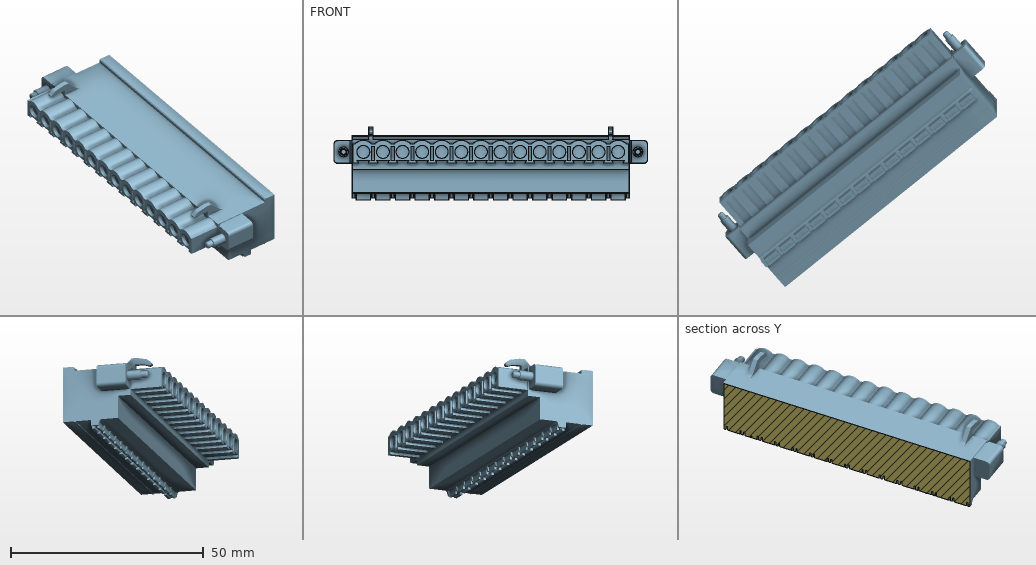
import cadquery as cq


pole_count = 14
pole_row_span = 66.0
pole_pitch = pole_row_span / (pole_count - 1)
pole_z = 10.5

housing_length = 71.85
housing_depth = 18.3
housing_top = 13.65
front_wall_bottom = 5.9
step_depth = 3.4
lip_top = 14.7
lip_depth = 3.2
lip_chamfer = 0.25

sleeve_row_length = 71.4
sleeve_length = 8.3
sleeve_top = 13.5
sleeve_bottom = 7.55
sleeve_valley_z = 12.6
sleeve_arc_half_width = 2.1
wire_hole_diameter = 3.3
wire_hole_depth = 1.0
slot_width = 0.8
slot_bottom = 8.3
slot_top = 11.9
slot_depth = 1.6
groove_roof_z = slot_bottom
groove_roof_width = 3.3
groove_mouth_width = 2.6
groove_lip_height = 0.25

overall_length = 81.3
flange_depth = 7.8
flange_height = 5.9
flange_radius = 1.0
flange_chamfer_width = 0.6
flange_chamfer_depth = 1.2
screw_x = 38.1
screw_diameter = 2.5
screw_length = 3.65
tip_diameter = 1.8
tip_length = 1.7
tip_chamfer = 0.25

hook_x = 31.05
hook_width = 1.2
hook_top = 17.0
hook_throat_z = 15.2
hook_root_y = 4.95
hook_root_mid = (4.3, 13.8)
hook_ramp_start = (3.7, 14.15)
hook_ramp_end_y = 1.0
hook_flat_end_y = -0.4
hook_nose_facets = [(-0.9, 16.9), (-3.2, 16.4), (-3.65, 16.1)]
hook_tip_y = -4.5
hook_tip_top = 15.4
hook_tip_bottom = 14.95
hook_lip_mid = (-4.1, 14.7)
hook_lip_end = (-3.5, 14.7)
hook_throat_mid = (-2.6, 15.0)
hook_throat_end_y = -1.6

root_front_y = 8.0
root_edge_y = 8.4
root_height = 0.3
rail_front_y = 8.7
rail_back_y = 10.7
rail_height = 1.5
tooth_width = 3.7
tooth_height = 2.0
tooth_gap = 0.25
tooth_groove_y = 9.2
tooth_groove_width = 0.8
ridge_y = 15.0
ridge_width = 0.4
ridge_height = 0.2

pole_positions = [(i - (pole_count - 1) / 2) * pole_pitch for i in range(pole_count)]
gap_positions = [(i - pole_count / 2) * pole_pitch for i in range(1, pole_count)]


def box(x_range, y_range, z_range):
    """Box spanning the given (low, high) ranges."""
    corners = list(zip(x_range, y_range, z_range))
    size = [high - low for low, high in zip(*corners)]
    return cq.Workplane("XY").box(*size, centered=False).translate(corners[0])


def centred(width, x=0.0):
    """Range of the given width centred on x."""
    return (x - width / 2, x + width / 2)


def extrude_along_x(profile, x_range):
    """Extrude a closed Y-Z profile over a range of X."""
    low, high = x_range
    return profile.extrude(high - low).translate((low, 0, 0))


def yz_polygon(points):
    return cq.Workplane("YZ").polyline(points).close()


def make_housing():
    lip_front = housing_depth - lip_depth
    profile = yz_polygon([
        (step_depth, 0),
        (housing_depth, 0),
        (housing_depth, lip_top),
        (lip_front + lip_chamfer, lip_top),
        (lip_front, lip_top - lip_chamfer),
        (lip_front, housing_top),
        (0, housing_top),
        (0, front_wall_bottom),
        (step_depth, front_wall_bottom),
    ])
    return extrude_along_x(profile, centred(housing_length))


def make_sleeves():
    """Row of round-topped sleeves with a flat valley between neighbours."""
    end = sleeve_row_length / 2
    outline = cq.Workplane("XZ").moveTo(-end, sleeve_bottom).lineTo(-end, sleeve_valley_z)
    for x in pole_positions:
        outline = outline.lineTo(x - sleeve_arc_half_width, sleeve_valley_z).threePointArc(
            (x, sleeve_top), (x + sleeve_arc_half_width, sleeve_valley_z)
        )
    outline = outline.lineTo(end, sleeve_valley_z).lineTo(end, sleeve_bottom).close()
    return outline.extrude(sleeve_length)


def make_wire_holes():
    holes = cq.Workplane("XZ", origin=(0, -sleeve_length, 0))
    holes = holes.pushPoints([(x, pole_z) for x in pole_positions])
    return holes.circle(wire_hole_diameter / 2).extrude(-wire_hole_depth)


def make_slot(x):
    """Blind slot in the front between two neighbouring sleeves."""
    y_range = (-sleeve_length, slot_depth - sleeve_length)
    return box(centred(slot_width, x), y_range, (slot_bottom, slot_top))


def make_sleeve_groove(x):
    """Undercut groove along the underside of one sleeve."""
    roof = groove_roof_width / 2
    mouth = groove_mouth_width / 2
    lip_z = sleeve_bottom + groove_lip_height
    outline = [
        (x - mouth, sleeve_bottom),
        (x - mouth, lip_z),
        (x - roof, groove_roof_z),
        (x + roof, groove_roof_z),
        (x + mouth, lip_z),
        (x + mouth, sleeve_bottom),
    ]
    return cq.Workplane("XZ").polyline(outline).close().extrude(sleeve_length)


def make_left_flange():
    """Flange block and screw at the -X end."""
    outer_x = -overall_length / 2
    inner_x = -housing_length / 2
    z_range = centred(flange_height, pole_z)
    block = box((outer_x, inner_x), (0, flange_depth), z_range)
    block = block.edges("|Y and <X").fillet(flange_radius)
    corner = [
        (inner_x - flange_chamfer_width, 0),
        (inner_x, flange_chamfer_depth),
        (inner_x, 0),
    ]
    cutter = cq.Workplane("XY", origin=(0, 0, z_range[0])).polyline(corner).close()
    block = block.cut(cutter.extrude(flange_height))
    shank = cq.Workplane("XZ", origin=(-screw_x, 0, pole_z)).circle(screw_diameter / 2)
    shank = shank.extrude(screw_length)
    tip = shank.faces("<Y").workplane(centerOption="CenterOfMass").circle(tip_diameter / 2)
    tip = tip.extrude(tip_length, combine=False).faces("<Y").chamfer(tip_chamfer)
    return block.union(shank).union(tip)


def make_hook(x):
    """Latch hook: curved root, sloped back, flat top and a faceted nose reaching over the sleeves."""
    profile = (
        cq.Workplane("YZ")
        .moveTo(0, housing_top)
        .lineTo(hook_root_y, housing_top)
        .threePointArc(hook_root_mid, hook_ramp_start)
        .lineTo(hook_ramp_end_y, hook_top)
        .lineTo(hook_flat_end_y, hook_top)
    )
    for y, z in hook_nose_facets:
        profile = profile.lineTo(y, z)
    profile = (
        profile
        .lineTo(hook_tip_y, hook_tip_top)
        .lineTo(hook_tip_y, hook_tip_bottom)
        .threePointArc(hook_lip_mid, hook_lip_end)
        .threePointArc(hook_throat_mid, (hook_throat_end_y, hook_throat_z))
        .lineTo(0, hook_throat_z)
        .close()
    )
    return extrude_along_x(profile, centred(hook_width, x))


def make_rail_root():
    """Full-length root with a sloped front that carries the rail and the teeth."""
    profile = yz_polygon([
        (root_front_y, 0),
        (root_edge_y, -root_height),
        (rail_back_y, -root_height),
        (rail_back_y, 0),
    ])
    return extrude_along_x(profile, centred(housing_length))


def make_rail_pieces():
    """Pieces of rail in the gaps before, between and after the teeth."""
    clearance = tooth_width / 2 + tooth_gap
    starts = [-housing_length / 2] + [x + clearance for x in pole_positions]
    ends = [x - clearance for x in pole_positions] + [housing_length / 2]
    profile = [
        (root_edge_y, -root_height),
        (rail_front_y, -rail_height),
        (rail_back_y, -rail_height),
        (rail_back_y, -root_height),
    ]
    return [extrude_along_x(yz_polygon(profile), x_range) for x_range in zip(starts, ends)]


def make_tooth(x):
    """Coding tooth with a groove along its tip."""
    x_range = centred(tooth_width, x)
    tooth = box(x_range, (rail_front_y, rail_back_y), (-tooth_height, 0))
    groove_y = (tooth_groove_y, tooth_groove_y + tooth_groove_width)
    return tooth.cut(box(x_range, groove_y, (-tooth_height, -rail_height)))


def make_ridge():
    return box(centred(housing_length), centred(ridge_width, ridge_y), (-ridge_height, 0))


sleeves = make_sleeves().cut(make_wire_holes())
for gap_x in gap_positions:
    sleeves = sleeves.cut(make_slot(gap_x))
for pole_x in pole_positions:
    sleeves = sleeves.cut(make_sleeve_groove(pole_x))

underside = make_rail_root()
for rail_piece in make_rail_pieces():
    underside = underside.union(rail_piece)
for pole_x in pole_positions:
    underside = underside.union(make_tooth(pole_x))

left_flange = make_left_flange()
result = make_housing().union(make_ridge()).union(left_flange).union(left_flange.mirror("YZ"))
for side in (-1, 1):
    result = result.union(make_hook(side * hook_x))
result = result.union(sleeves).union(underside)